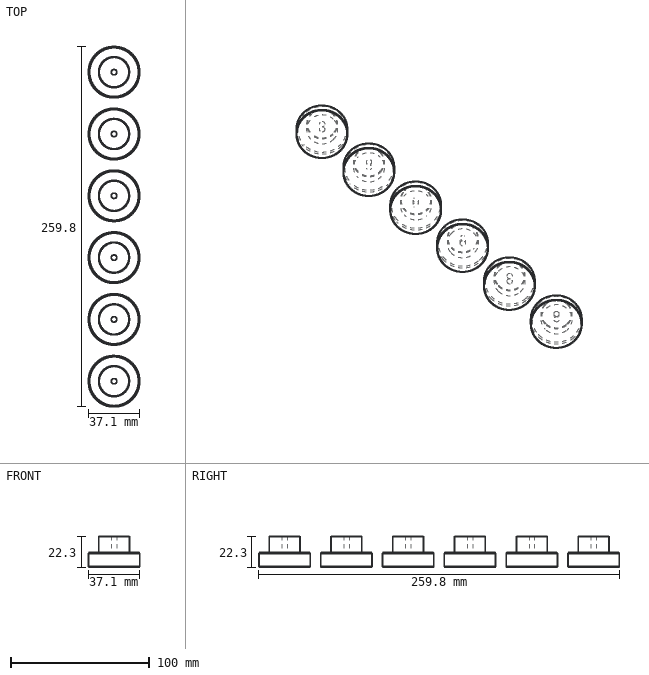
import cadquery as cq

ROW_LENGTH = 259.8
FOOT_COUNT = 6
BASE_DIAMETER = 37.1
BASE_HEIGHT = 11.0
BASE_TOP_CHAMFER = 1.0
BASE_BOTTOM_CHAMFER = 0.5
BOSS_DIAMETER = 22.3
TOTAL_HEIGHT = 22.3
BOSS_CHAMFER = 0.5
HOLE_DIAMETER = 4.0

PITCH = (ROW_LENGTH - BASE_DIAMETER) / (FOOT_COUNT - 1)
BOSS_HEIGHT = TOTAL_HEIGHT - BASE_HEIGHT


def make_foot(y_center):
    """Stepped round foot: chamfered base disc, narrower boss and a blind hole as deep as the boss."""
    base = (
        cq.Workplane("XY")
        .circle(BASE_DIAMETER / 2)
        .extrude(BASE_HEIGHT)
        .faces(">Z")
        .edges()
        .chamfer(BASE_TOP_CHAMFER)
        .faces("<Z")
        .edges()
        .chamfer(BASE_BOTTOM_CHAMFER)
    )
    boss = (
        cq.Workplane("XY")
        .workplane(offset=BASE_HEIGHT)
        .circle(BOSS_DIAMETER / 2)
        .extrude(BOSS_HEIGHT)
        .faces(">Z")
        .edges()
        .chamfer(BOSS_CHAMFER)
    )
    hole = cq.Workplane("XY").workplane(offset=BASE_HEIGHT).circle(HOLE_DIAMETER / 2).extrude(BOSS_HEIGHT)
    return base.union(boss).cut(hole).translate((0, y_center, 0))


first_y = -PITCH * (FOOT_COUNT - 1) / 2
feet = [make_foot(first_y + index * PITCH) for index in range(FOOT_COUNT)]

result = cq.Compound.makeCompound([foot.val() for foot in feet])